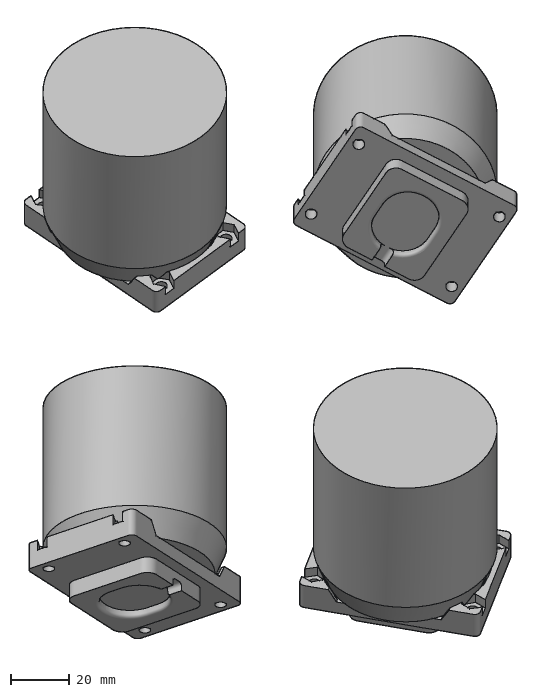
import math

import cadquery as cq

CANISTER_RADIUS = 63.0 / 2
FOOT_RADIUS = 55.05 / 2
TAPER_BOTTOM_Z = 11.0
TAPER_TOP_Z = 21.0
CANISTER_TOP_Z = 75.0

PLATE_LENGTH = 64.0
PLATE_WIDTH = 45.0
PLATE_BOTTOM_Z = 6.0
PLATE_TOP_Z = 16.0
PLATE_CORNER_RADIUS = 2.0
SEAT_CLEARANCE = 0.5

CHANNEL_FLOOR_HALF_WIDTH = 18.5
CHANNEL_TOP_HALF_WIDTH = 21.4

SCREW_DIAMETER = 4.0
SCREW_SPACING_X = 56.0
SCREW_SPACING_Y = 32.0
NUT_CORNER_RADIUS = 4.0
NUT_FLAT_DISTANCE = NUT_CORNER_RADIUS * math.sqrt(3) / 2
NUT_POCKET_DEPTH = 3.75

PEDESTAL_LENGTH = 32.0
PEDESTAL_WIDTH = 36.0
PEDESTAL_CORNER_RADIUS = 4.0

CAVITY_LENGTH = 20.8
CAVITY_WALL = (PEDESTAL_LENGTH - CAVITY_LENGTH) / 2
CAVITY_WIDTH = PEDESTAL_WIDTH - 2 * CAVITY_WALL
CAVITY_CORNER_RADIUS = 10.0
CAVITY_LIP_RADIUS = 1.1
CAVITY_HEIGHT = 3.0

NOTCH_WIDTH = 5.0
NOTCH_CORNER_RADIUS = 1.5


def make_canister():
    """Solid of revolution: a tapered foot below a straight cylinder."""
    return (
        cq.Workplane("XZ")
        .moveTo(0, TAPER_BOTTOM_Z)
        .lineTo(FOOT_RADIUS, TAPER_BOTTOM_Z)
        .lineTo(CANISTER_RADIUS, TAPER_TOP_Z)
        .lineTo(CANISTER_RADIUS, CANISTER_TOP_Z)
        .lineTo(0, CANISTER_TOP_Z)
        .close()
        .revolve(360, (0, 0, 0), (0, 1, 0))
    )


def make_rounded_block(length, width, corner_radius, bottom_z, top_z):
    """Upright block, centred on the Z axis, with rounded vertical edges."""
    return (
        cq.Workplane("XY", origin=(0, 0, bottom_z))
        .rect(length, width)
        .extrude(top_z - bottom_z)
        .edges("|Z")
        .fillet(corner_radius)
    )


def make_seat():
    """Conical seat parallel to the canister taper, larger by the clearance."""
    depth = PLATE_TOP_Z - TAPER_BOTTOM_Z
    taper_slope = (CANISTER_RADIUS - FOOT_RADIUS) / (TAPER_TOP_Z - TAPER_BOTTOM_Z)
    floor_radius = FOOT_RADIUS + SEAT_CLEARANCE
    top_radius = floor_radius + taper_slope * depth
    return cq.Workplane(
        cq.Solid.makeCone(floor_radius, top_radius, depth, pnt=cq.Vector(0, 0, TAPER_BOTTOM_Z))
    )


def make_channel():
    """Flared channel that runs through the plate along Y."""
    return (
        cq.Workplane("XZ")
        .moveTo(-CHANNEL_FLOOR_HALF_WIDTH, TAPER_BOTTOM_Z)
        .lineTo(CHANNEL_FLOOR_HALF_WIDTH, TAPER_BOTTOM_Z)
        .lineTo(CHANNEL_TOP_HALF_WIDTH, PLATE_TOP_Z)
        .lineTo(-CHANNEL_TOP_HALF_WIDTH, PLATE_TOP_Z)
        .close()
        .extrude(PLATE_WIDTH / 2, both=True)
    )


def make_nut_cut(side_x, side_y):
    """Through hole and a hexagonal nut pocket, stretched so that its outer flat lies on the plate end."""
    x = side_x * SCREW_SPACING_X / 2
    y = side_y * SCREW_SPACING_Y / 2
    half_side = NUT_CORNER_RADIUS / 2
    inner_x = x - side_x * NUT_FLAT_DISTANCE
    end_x = side_x * PLATE_LENGTH / 2
    pocket = (
        cq.Workplane("XY", origin=(0, 0, PLATE_TOP_Z - NUT_POCKET_DEPTH))
        .moveTo(x, y + NUT_CORNER_RADIUS)
        .lineTo(end_x, y + half_side)
        .lineTo(end_x, y - half_side)
        .lineTo(x, y - NUT_CORNER_RADIUS)
        .lineTo(inner_x, y - half_side)
        .lineTo(inner_x, y + half_side)
        .close()
        .extrude(NUT_POCKET_DEPTH)
    )
    hole = (
        cq.Workplane("XY", origin=(x, y, PLATE_BOTTOM_Z))
        .circle(SCREW_DIAMETER / 2)
        .extrude(PLATE_TOP_Z - PLATE_BOTTOM_Z)
    )
    return pocket.union(hole)


def make_notch():
    """Cable notch, open at the bottom, with rounded upper edges."""
    return (
        cq.Workplane("XZ")
        .rect(NOTCH_WIDTH, 2 * CAVITY_HEIGHT)
        .extrude(PEDESTAL_WIDTH / 2)
        .edges("|Y and >Z")
        .fillet(NOTCH_CORNER_RADIUS)
    )


def make_pedestal():
    """Rounded block with a lipped cavity underneath and a cable notch on the -Y side."""
    cavity = make_rounded_block(CAVITY_LENGTH, CAVITY_WIDTH, CAVITY_CORNER_RADIUS, 0, CAVITY_HEIGHT)
    cavity_rim = cq.selectors.BoxSelector(
        (-CAVITY_LENGTH / 2, -CAVITY_WIDTH / 2, -CAVITY_LIP_RADIUS),
        (CAVITY_LENGTH / 2, CAVITY_WIDTH / 2, CAVITY_LIP_RADIUS),
    )
    return (
        make_rounded_block(PEDESTAL_LENGTH, PEDESTAL_WIDTH, PEDESTAL_CORNER_RADIUS, 0, PLATE_BOTTOM_Z)
        .cut(cavity)
        .edges(cavity_rim)
        .fillet(CAVITY_LIP_RADIUS)
        .cut(make_notch())
    )


def make_base():
    """Plate and pedestal in one piece, with a seat for the canister foot."""
    base = make_rounded_block(
        PLATE_LENGTH, PLATE_WIDTH, PLATE_CORNER_RADIUS, PLATE_BOTTOM_Z, PLATE_TOP_Z
    )
    base = base.union(make_pedestal())
    base = base.cut(make_seat())
    base = base.cut(make_channel())
    for side_x in (-1, 1):
        for side_y in (-1, 1):
            base = base.cut(make_nut_cut(side_x, side_y))
    return base


canister = make_canister()
base = make_base()
result = cq.Compound.makeCompound([canister.val(), base.val()])